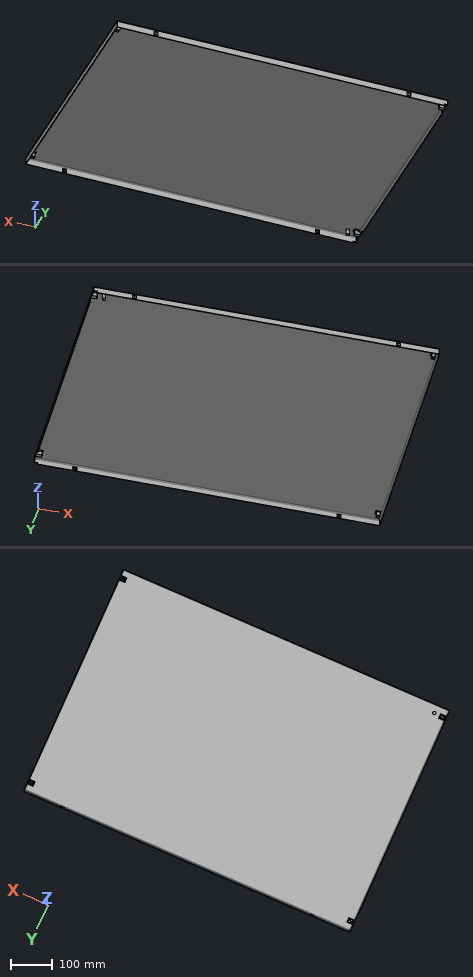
import cadquery as cq

LENGTH = 865.0
WIDTH = 598.0
OVERALL_HEIGHT = 23.5
HEAD_RISE = 3.2
PANEL_TOP = OVERALL_HEIGHT - HEAD_RISE
SHEET = 1.5
BEND_RADIUS = 2.5
CORNER_RELIEF = 0.5
MID_X = LENGTH / 2
MID_Y = WIDTH / 2
UNDERSIDE = PANEL_TOP - SHEET

LEFT_FLANGE_BOTTOM = 4.5
STEP_LENGTH = 9.2

WINDOW_SIZE = 9.6
WINDOW_Z = 8.6
WINDOW_SPACING = 660.0

HEAD_X = 12.5
HEAD_Y = 12.0
CLIP_INSET_Y = 23.5
LEFT_CLIP_X = 10.2
RIGHT_CLIP_X = 854.3
CLIP_STEM = 8.5
CLIP_BOTTOM = 7.0

WEDGE_BEVEL_RUN = 1.5
WEDGE_BACK_HEIGHT = 0.6
LEFT_HEAD_RIM = 0.6
TONGUE_TOP = 16.5

CUTOUT_START = 8.0
CUTOUT_END = 39.0
CUTOUT_TOP = 11.2

COLLAR_RISE = 2.4
COLLAR_CHAMFER = 1.0
PIN_DIAMETER = 6.0
PIN_CHAMFER = 0.8

STUD_X = 31.5
STUD_Y = 21.5
STUD_DIAMETER = 8.0
STUD_BOTTOM = 4.0


def block(x0, x1, y0, y1, z0, z1):
    """Box given by its limits along each axis."""
    return cq.Workplane("XY").box(x1 - x0, y1 - y0, z1 - z0, centered=False).translate((x0, y0, z0))


def centred_block(x, y, size_x, size_y, z0, z1):
    """Box centred on (x, y) between two heights."""
    return block(x - size_x / 2, x + size_x / 2, y - size_y / 2, y + size_y / 2, z0, z1)


def at_both_ends(front_feature):
    """A front feature and its mirror image at the back."""
    back_feature = front_feature.mirror("XZ", (0, MID_Y, 0))
    return [front_feature, back_feature]


def make_folded_sheet():
    outside = block(0, LENGTH, 0, WIDTH, 0, PANEL_TOP).faces(">Z").edges().fillet(BEND_RADIUS)
    inside = block(SHEET, LENGTH - SHEET, SHEET, WIDTH - SHEET, 0, UNDERSIDE)
    inside = inside.faces(">Z").edges().fillet(BEND_RADIUS - SHEET)
    sheet = outside.cut(inside)
    relief = 2 * CORNER_RELIEF
    for x in (0, LENGTH):
        for y in (0, WIDTH):
            sheet = sheet.cut(centred_block(x, y, relief, relief, 0, PANEL_TOP))
    return sheet


def make_panel():
    panel = make_folded_sheet()
    panel = panel.cut(block(0, STEP_LENGTH, 0, WIDTH, 0, LEFT_FLANGE_BOTTOM))

    for x in (MID_X - WINDOW_SPACING / 2, MID_X + WINDOW_SPACING / 2):
        z0 = WINDOW_Z - WINDOW_SIZE / 2
        window = block(x - WINDOW_SIZE / 2, x + WINDOW_SIZE / 2, 0, WIDTH, z0, z0 + WINDOW_SIZE)
        panel = panel.cut(window)

    tongue_y0 = CLIP_INSET_Y - CLIP_STEM / 2
    tongue_slot = block(0, SHEET, tongue_y0, tongue_y0 + CLIP_STEM, CUTOUT_TOP, TONGUE_TOP)
    cutout = block(0, SHEET, CUTOUT_START, CUTOUT_END, 0, CUTOUT_TOP)
    openings = [cutout, tongue_slot]
    for x in (LEFT_CLIP_X, RIGHT_CLIP_X):
        stem_hole = centred_block(x, CLIP_INSET_Y, CLIP_STEM, CLIP_STEM, UNDERSIDE, PANEL_TOP)
        openings.append(stem_hole)
    for opening in openings:
        for copy in at_both_ends(opening):
            panel = panel.cut(copy)
    return panel


def make_left_clip():
    """Front left clip: rim, bevelled head, stem through the panel and tongue through the flange."""
    x, y = LEFT_CLIP_X, CLIP_INSET_Y
    rim_top = PANEL_TOP + LEFT_HEAD_RIM
    rim = centred_block(x, y, HEAD_X, HEAD_Y, PANEL_TOP, rim_top)
    stem = centred_block(x, y, CLIP_STEM, CLIP_STEM, CLIP_BOTTOM, PANEL_TOP)
    tongue = block(0, x, y - CLIP_STEM / 2, y + CLIP_STEM / 2, CLIP_BOTTOM, TONGUE_TOP)

    wedge_back = x - HEAD_X / 2
    wedge_y0 = y - HEAD_Y / 4
    wedge_y1 = y + HEAD_Y / 2
    wedge_tip = (x + HEAD_X / 4, (wedge_y0 + wedge_y1) / 2)
    wedge_rise = OVERALL_HEIGHT - rim_top
    bevel_drop = wedge_rise - WEDGE_BACK_HEIGHT
    wedge = (
        cq.Workplane("XY", origin=(0, 0, rim_top))
        .polyline([(wedge_back, wedge_y0), wedge_tip, (wedge_back, wedge_y1)])
        .close()
        .extrude(wedge_rise)
    )
    wedge = wedge.faces("<X").edges(">Z").chamfer(bevel_drop, WEDGE_BEVEL_RUN)
    return rim.union(wedge).union(stem).union(tongue)


def make_collar():
    """Front right clip collar, bored through for its pin."""
    x, y = RIGHT_CLIP_X, CLIP_INSET_Y
    head = centred_block(x, y, HEAD_X, HEAD_Y, PANEL_TOP, PANEL_TOP + COLLAR_RISE)
    head = head.faces(">Z").edges().chamfer(COLLAR_CHAMFER)
    stem = centred_block(x, y, CLIP_STEM, CLIP_STEM, CLIP_BOTTOM, PANEL_TOP)
    bore = make_pin_blank()
    return head.union(stem).cut(bore)


def make_pin_blank():
    height = OVERALL_HEIGHT - CLIP_BOTTOM
    origin = (RIGHT_CLIP_X, CLIP_INSET_Y, CLIP_BOTTOM)
    return cq.Workplane("XY", origin=origin).circle(PIN_DIAMETER / 2).extrude(height)


def make_pin():
    return make_pin_blank().faces(">Z").chamfer(PIN_CHAMFER)


def make_stud():
    stud = cq.Workplane("XY", origin=(STUD_X, STUD_Y, STUD_BOTTOM))
    return stud.circle(STUD_DIAMETER / 2).extrude(UNDERSIDE - STUD_BOTTOM)


panel = make_panel()
stud = make_stud()
left_clips = at_both_ends(make_left_clip())
collars = at_both_ends(make_collar())
pins = at_both_ends(make_pin())

corner_bodies = [body.val() for body in left_clips + collars + pins]
result = cq.Compound.makeCompound([panel.val(), stud.val(), *corner_bodies])